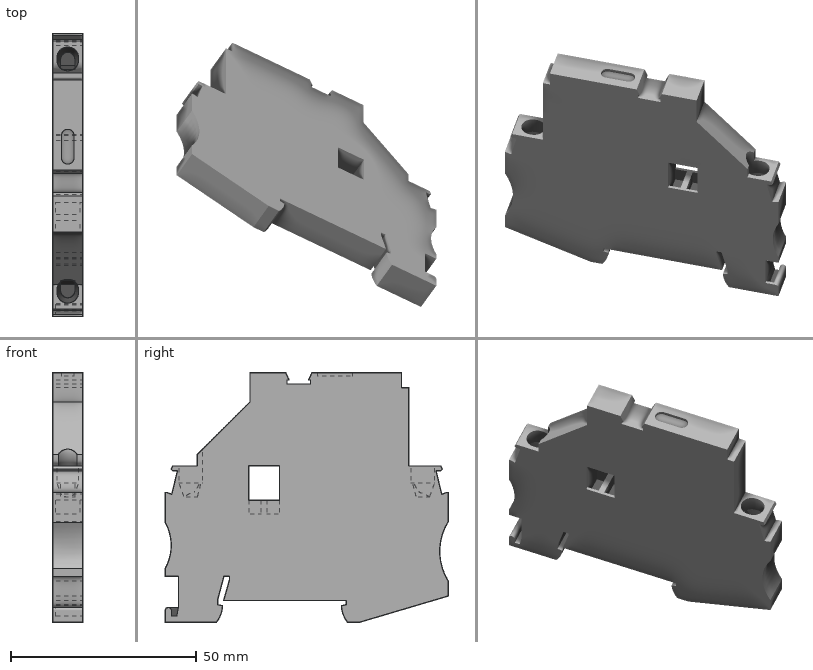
import cadquery as cq
import math

thickness = 8.2
length = 76.5
height = 67.5
half_length = length / 2

body_rear = 27.6
step_depth = 2.0
step_height = 4.05
nose_front = -15.4
slope_top = 59.5
slope_bottom = 45.4
slope_front = -29.6

ledge_height = 42.3
ledge_lip_end = 36.65
ledge_lip_thickness = 1.4
lip_slant = 0.45
lip_edge_drop = 0.9
notch_top_depth = 34.95
notch_floor_depth = 36.5
notch_bottom = 34.65
shoulder_height = 35.1
shoulder_start = 37.7

grip_top = 27.2
rear_grip_bottom = 11.2
rear_grip_depth = 2.3
front_grip_top = 27.0
front_grip_bottom = 14.6
front_grip_depth = 1.6

rear_corner_height = 7.1
rear_toe = 14.2
rail_seat_height = 5.9
rail_rear = 10.6
rail_front = -24.0
hook_tip_height = 4.5
hook_root_height = 4.8
hook_reach = 1.3
hook_toe_setback = 1.7
hook_bulge = 0.4

slot_top = 12.5
slot_top_rear = -20.9
slot_top_front = -22.3
slot_straight_bottom = 11.55
slot_mouth_rear = -22.5
slot_knee_height = 6.2

release_wall = -34.65
release_top = 12.5
release_floor = 4.05
bead_round = 0.85
release_lip = 0.8
release_pocket_depth = 2.3
release_wall_lean = 0.45

groove_center = -2.15
groove_depth = 3.05
groove_lip_height = 2.0
groove_top_half = 3.5
groove_throat_half = 2.6
groove_floor_half = 3.1

recess_center = 7.65
recess_length = 9.4
recess_width = 3.45
recess_depth = 0.9

window_rear = -7.4
window_front = -15.6
window_bottom = 33.05
window_side_wall = 0.8
window_bar = 1.6
well_depth = 3.8

entry_center = 31.4
entry_width = 5.9
entry_length = 6.4
entry_bore_depth = 4.6
entry_seat_depth = 3.8
entry_floor_radius = 1.5
blade_slot_width = 3.8
blade_slot_reach = 2.8


def extrude_across(outline, start=0.0, end=thickness):
    """Extrude a closed YZ outline along X, measured from the -X face."""
    return outline.extrude(end - start).translate((start - thickness / 2, 0, 0))


def box_between(x_range, y_range, z_range):
    """Box between two limits along each axis."""
    lows, highs = zip(*(sorted(limits) for limits in (x_range, y_range, z_range)))
    sizes = [high - low for low, high in zip(lows, highs)]
    return cq.Workplane("XY").box(*sizes, centered=False).translate(lows)


def hook_middle(tip, toe):
    """Middle point of the curved hook face, bulging toward the rail and down."""
    run = toe[0] - tip[0]
    drop = tip[1] - toe[1]
    chord = math.hypot(run, drop)
    middle_y = (tip[0] + toe[0]) / 2 - math.copysign(hook_bulge * drop / chord, run)
    middle_z = (tip[1] + toe[1]) / 2 - hook_bulge * abs(run) / chord
    return middle_y, middle_z


def housing():
    """Plate with the complete outer outline, grips and rail foot."""
    step_rear = body_rear - step_depth
    rear_tip = (rail_rear - hook_reach, hook_tip_height)
    rear_hook_toe = (rear_tip[0] + hook_toe_setback, 0)
    front_tip = (rail_front + hook_reach, hook_tip_height)
    front_hook_toe = (front_tip[0] - hook_toe_setback, 0)
    rear_grip_middle = (grip_top + rear_grip_bottom) / 2
    front_grip_middle = (front_grip_top + front_grip_bottom) / 2

    outline = (
        cq.Workplane("YZ")
        .moveTo(nose_front, height)
        .lineTo(step_rear, height)
        .lineTo(step_rear, height - step_height)
        .lineTo(body_rear, height - step_height)
        .lineTo(body_rear, ledge_height)
        .lineTo(half_length, ledge_height)
        .lineTo(half_length, grip_top)
        .threePointArc(
            (half_length - rear_grip_depth, rear_grip_middle),
            (half_length, rear_grip_bottom),
        )
        .lineTo(half_length, rear_corner_height)
        .lineTo(rear_toe, 0)
        .lineTo(*rear_hook_toe)
        .threePointArc(hook_middle(rear_tip, rear_hook_toe), rear_tip)
        .lineTo(rail_rear, hook_root_height)
        .lineTo(rail_rear, rail_seat_height)
        .lineTo(slot_mouth_rear, rail_seat_height)
        .lineTo(slot_top_rear, slot_straight_bottom)
        .lineTo(slot_top_rear, slot_top)
        .lineTo(slot_top_front, slot_top)
        .lineTo(rail_front, slot_knee_height)
        .lineTo(rail_front, hook_root_height)
        .lineTo(*front_tip)
        .threePointArc(hook_middle(front_tip, front_hook_toe), front_hook_toe)
        .lineTo(-half_length, 0)
        .lineTo(-half_length, front_grip_bottom)
        .threePointArc(
            (front_grip_depth - half_length, front_grip_middle),
            (-half_length, front_grip_top),
        )
        .lineTo(-half_length, ledge_height)
        .lineTo(slope_front, ledge_height)
        .lineTo(slope_front, slope_bottom)
        .lineTo(nose_front, slope_top)
        .close()
    )
    return extrude_across(outline)


def marker_notch():
    """Rear cut that leaves a pointed lip at the ledge and a slanted wall below it."""
    lip_bottom = ledge_height - ledge_lip_thickness
    outline = (
        cq.Workplane("YZ")
        .moveTo(ledge_lip_end - lip_slant, ledge_height)
        .lineTo(ledge_lip_end, ledge_height - lip_edge_drop)
        .lineTo(ledge_lip_end - lip_slant, lip_bottom)
        .lineTo(notch_top_depth, lip_bottom)
        .lineTo(notch_floor_depth, notch_bottom)
        .lineTo(shoulder_start, shoulder_height)
        .lineTo(half_length, shoulder_height)
        .lineTo(half_length, ledge_height)
        .close()
    )
    return extrude_across(outline)


def top_groove():
    """Groove with a flared mouth and an undercut floor."""
    floor = height - groove_depth
    throat = height - groove_lip_height
    right_half = [
        (groove_floor_half, floor),
        (groove_floor_half, throat),
        (groove_throat_half, throat),
        (groove_top_half, height),
    ]
    left_half = [(-y, z) for y, z in reversed(right_half)]
    points = [(groove_center + y, z) for y, z in right_half + left_half]
    return extrude_across(cq.Workplane("YZ").polyline(points).close())


def top_recess():
    """Shallow oval recess."""
    return (
        cq.Workplane("XY", origin=(0, recess_center, height))
        .slot2D(recess_length, recess_width, 90)
        .extrude(-recess_depth)
    )


def window():
    """Through window whose floor has two wells separated by a bar."""
    half_thickness = thickness / 2
    x_inner = half_thickness - window_side_wall
    opening = box_between(
        (-half_thickness, half_thickness),
        (window_front, window_rear),
        (window_bottom, ledge_height),
    )
    bar_center = (window_front + window_rear) / 2
    z_range = (window_bottom - well_depth, window_bottom)
    for end, side in ((window_front, -1), (window_rear, 1)):
        y_range = (end, bar_center + side * window_bar / 2)
        opening = opening.union(box_between((-x_inner, x_inner), y_range, z_range))
    return opening


def release_notch():
    """Notch in the front end, cut down to the rounded bead of the foot."""
    outline = (
        cq.Workplane("YZ")
        .moveTo(release_wall, release_top)
        .lineTo(release_wall, release_floor)
        .lineTo(bead_round - half_length, release_floor)
        .radiusArc((-half_length, release_floor - bead_round), -bead_round)
        .lineTo(-half_length, release_top)
        .close()
    )
    return extrude_across(outline)


def release_pocket():
    """Pocket behind the bead, open at the +X face and closed by a thin wall at -X."""
    bottom = release_floor - release_pocket_depth
    bead_center = bead_round - half_length
    bead_inner = bead_center + bead_round
    outline = (
        cq.Workplane("YZ")
        .moveTo(release_wall, release_floor)
        .lineTo(release_wall - release_wall_lean, bottom)
        .lineTo(bead_inner, bottom)
        .lineTo(bead_inner, release_floor - bead_round)
        .radiusArc((bead_center, release_floor), -bead_round)
        .close()
    )
    return extrude_across(outline, start=release_lip)


def terminal_entry():
    """Rear wire entry: oval bore, tapered seat and a blade slot with a slanted inner wall."""
    floor_length = entry_length - entry_width + 2 * entry_floor_radius
    floor_inner = entry_center - floor_length / 2
    floor_outer = entry_center + floor_length / 2
    seat_top = ledge_height - entry_bore_depth
    floor = seat_top - entry_seat_depth

    bore = (
        cq.Workplane("XY", origin=(0, entry_center, seat_top))
        .slot2D(entry_length, entry_width, 90)
        .extrude(entry_bore_depth)
    )
    seat = (
        cq.Workplane("XY", origin=(0, entry_center, seat_top))
        .slot2D(entry_length, entry_width, 90)
        .workplane(offset=-entry_seat_depth)
        .slot2D(floor_length, 2 * entry_floor_radius, 90)
        .loft(ruled=True)
    )
    blade_slot = (
        cq.Workplane("XY", origin=(0, floor_outer - entry_length, floor))
        .slot2D(2 * entry_length, blade_slot_width, 90)
        .extrude(entry_seat_depth)
    )
    slanted_limit = (
        cq.Workplane("YZ")
        .moveTo(floor_inner, floor)
        .lineTo(entry_center - blade_slot_reach, seat_top)
        .lineTo(half_length, seat_top)
        .lineTo(half_length, floor)
        .close()
    )
    lower_part = seat.union(blade_slot).intersect(extrude_across(slanted_limit))
    return bore.union(lower_part)


def entry_clearance():
    """Oval bore through the slope above the front terminal entry."""
    return (
        cq.Workplane("XY", origin=(0, -entry_center, ledge_height))
        .slot2D(entry_length, entry_width, 90)
        .extrude(slope_top - ledge_height)
    )


def mirrored_in_y(solid):
    """Copy of a rear feature at the front end."""
    return solid.mirror("XZ")


result = housing()
for end_feature in (marker_notch(), terminal_entry()):
    result = result.cut(end_feature).cut(mirrored_in_y(end_feature))
for single_feature in (
    entry_clearance(),
    top_groove(),
    top_recess(),
    window(),
    release_notch(),
    release_pocket(),
):
    result = result.cut(single_feature)